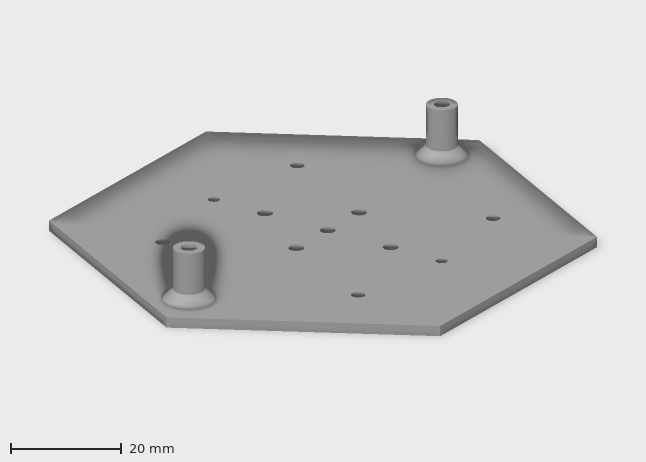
import cadquery as cq

plate_width = 85.93
plate_length = 99.63
plate_side = 50.02
plate_thickness = 2.0
plate_center_x = -1.05

post_diameter = 5.8
post_bore = 2.9
post_height = 10.0
foot_height = 2.0
foot_diameter = post_diameter + 2 * foot_height
post_x = -2.71
post_y = 40.3

inner_hole_diameter = 2.9
inner_hole_x = 13.8
inner_hole_y = 10.0
corner_hole_diameter = 2.65
corner_hole_offset = 21.5
outer_hole_diameter = 2.25
outer_hole_x = 25.0

inner_hole_points = [
    (0, 0),
    (-inner_hole_x, 0),
    (inner_hole_x, 0),
    (0, -inner_hole_y),
    (0, inner_hole_y),
]
corner_hole_points = [
    (side_x * corner_hole_offset, side_y * corner_hole_offset)
    for side_x in (-1, 1)
    for side_y in (-1, 1)
]
outer_hole_points = [(-outer_hole_x, 0), (outer_hole_x, 0)]
post_points = [(post_x, -post_y), (post_x, post_y)]


def make_plate():
    """Hexagon with two sides parallel to Y and a tip at each end of Y."""
    half_width = plate_width / 2
    half_length = plate_length / 2
    half_side = plate_side / 2
    outline = [
        (0, half_length),
        (half_width, half_side),
        (half_width, -half_side),
        (0, -half_length),
        (-half_width, -half_side),
        (-half_width, half_side),
    ]
    plate = cq.Workplane("XY").polyline(outline).close().extrude(plate_thickness)
    return plate.translate((plate_center_x, 0, 0))


def make_post():
    """Post with its conical foot, as one revolved half profile about Z."""
    post_radius = post_diameter / 2
    foot_radius = foot_diameter / 2
    foot_top = plate_thickness + foot_height
    post_top = plate_thickness + post_height
    profile = [
        (0, 0),
        (foot_radius, 0),
        (foot_radius, plate_thickness),
        (post_radius, foot_top),
        (post_radius, post_top),
        (0, post_top),
    ]
    return cq.Workplane("XZ").polyline(profile).close().revolve(360, (0, 0), (0, 1))


def make_hole_pins(points, diameter):
    """Cylinders, tall enough to pierce plate and posts, at the given points."""
    pin_height = plate_thickness + post_height
    return cq.Workplane("XY").pushPoints(points).circle(diameter / 2).extrude(pin_height)


result = make_plate()
for x, y in post_points:
    result = result.union(make_post().translate((x, y, 0)))

hole_groups = [
    (post_points, post_bore),
    (inner_hole_points, inner_hole_diameter),
    (corner_hole_points, corner_hole_diameter),
    (outer_hole_points, outer_hole_diameter),
]
for points, diameter in hole_groups:
    result = result.cut(make_hole_pins(points, diameter))